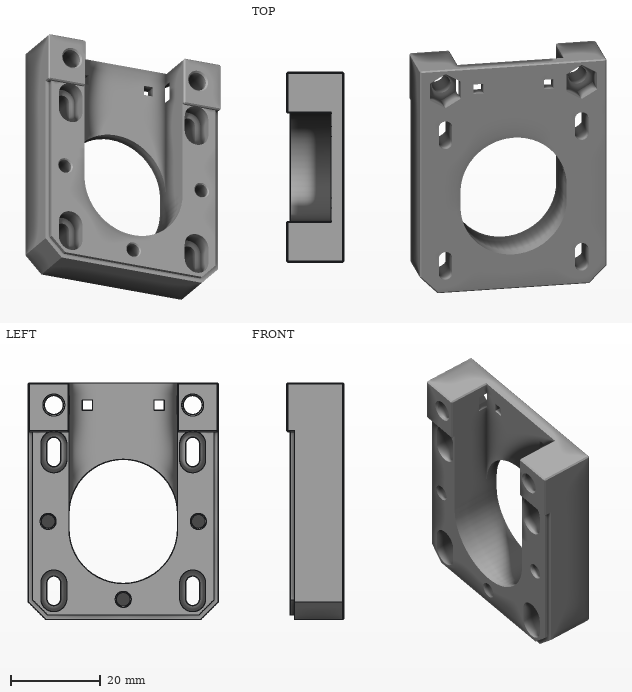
import cadquery as cq
import math

DEPTH = 12.8
WIDTH = 42.5
HEIGHT = 53.0
CORNER_CUT = 4.0
EDGE_CHAMFER = 0.29

PLATE_X = 0.8
RIM_X = 1.75
PLATE_INSET = 1.0
PAD_HEIGHT = 10.95

MOTOR_CENTER_Z = 22.0
SLOT_TRAVEL = 3.5
OPENING_DIAMETER = 24.2
BACK_WALL = 2.85
CHANNEL_DEPTH = DEPTH - BACK_WALL

BOLT_SPACING = 31.05
BOLT_SLOT_WIDTH = 3.1
HEAD_SLOT_WIDTH = 5.85
HEAD_SLOT_DEPTH = 4.2

BLIND_DIAMETER = 3.1
BLIND_DEPTH = 5.85
BLIND_SIDE_Y = 16.8
BLIND_BOTTOM_Z = 4.55
HOLE_CHAMFER = 0.25

MOUNT_DIAMETER = 4.2
MOUNT_Y = BOLT_SPACING / 2
MOUNT_Z = 48.0
MOUNT_CHAMFER = 0.35
NUT_ACROSS_FLATS = 7.0
NUT_ACROSS_CORNERS = NUT_ACROSS_FLATS / math.cos(math.pi / 6)
NUT_DEPTH = 5.0

WINDOW_SIDE = 2.2
WINDOW_Y = 8.0
WINDOW_Z = MOUNT_Z


def at_depth(x):
    """Workplane facing +X at depth x; its local axes are Y and Z."""
    return cq.Workplane("YZ", origin=(x, 0, 0))


def plate_outline(plane, inset):
    """Block outline with cut bottom corners, moved inward by inset at its sides and bottom."""
    half = WIDTH / 2 - inset
    cut = CORNER_CUT - inset * (2 - math.sqrt(2))
    return plane.polyline([
        (-half, HEIGHT),
        (-half, inset + cut),
        (-half + cut, inset),
        (half - cut, inset),
        (half, inset + cut),
        (half, HEIGHT),
    ]).close()


def channel(start_x):
    """Channel from start_x to the back wall, open at the top of the block."""
    return at_depth(start_x).center(0, (MOTOR_CENTER_Z + HEIGHT) / 2).rect(
        OPENING_DIAMETER, HEIGHT - MOTOR_CENTER_Z
    ).extrude(CHANNEL_DEPTH - start_x)


def vertical_slot(start_x, depth, y, z, width):
    """Slot cutter along Z whose end arcs are SLOT_TRAVEL apart."""
    return at_depth(start_x).center(y, z).slot2D(width + SLOT_TRAVEL, width, 90).extrude(depth)


def chamfered_hole(start_x, depth, y, z, diameter, chamfer):
    """Round hole cutter going in +X, with a countersunk mouth at start_x."""
    hole = at_depth(start_x).center(y, z).circle(diameter / 2).extrude(depth)
    mouth = at_depth(start_x).center(y, z).circle(diameter / 2 + chamfer).extrude(chamfer, taper=45)
    return hole.union(mouth)


def main_block():
    """Block behind the rim, with the channel cut and its back and top edges chamfered."""
    block = plate_outline(at_depth(RIM_X), 0).extrude(DEPTH - RIM_X)
    block = block.faces(">X").edges().chamfer(EDGE_CHAMFER)
    block = block.cut(channel(RIM_X))
    return block.faces(">Z").edges("|X").chamfer(EDGE_CHAMFER)


def raised_plate():
    """Raised front plate, running up behind the lower half of the pads."""
    plate = plate_outline(at_depth(PLATE_X), PLATE_INSET).extrude(RIM_X - PLATE_X)
    upper_part = at_depth(PLATE_X).center(0, HEIGHT - PAD_HEIGHT / 4).rect(WIDTH, PAD_HEIGHT / 2)
    plate = plate.cut(upper_part.extrude(RIM_X - PLATE_X))
    return plate.cut(channel(PLATE_X))


def pad(side):
    """Chamfered pad at the top of one leg; side is -1 or 1."""
    pad_width = (WIDTH - OPENING_DIAMETER) / 2
    center_y = side * (WIDTH - pad_width) / 2
    block = at_depth(0).center(center_y, HEIGHT - PAD_HEIGHT / 2).rect(pad_width, PAD_HEIGHT).extrude(RIM_X)
    return block.edges("|X or <X").chamfer(EDGE_CHAMFER)


result = main_block().union(raised_plate())
for side in (-1, 1):
    result = result.union(pad(side))

result = result.cut(vertical_slot(0, DEPTH, 0, MOTOR_CENTER_Z, OPENING_DIAMETER))

for side in (-1, 1):
    for level in (-1, 1):
        bolt_y = side * BOLT_SPACING / 2
        bolt_z = MOTOR_CENTER_Z + level * BOLT_SPACING / 2
        result = result.cut(vertical_slot(PLATE_X, DEPTH, bolt_y, bolt_z, BOLT_SLOT_WIDTH))
        result = result.cut(vertical_slot(PLATE_X, HEAD_SLOT_DEPTH, bolt_y, bolt_z, HEAD_SLOT_WIDTH))

for y, z in [(-BLIND_SIDE_Y, MOTOR_CENTER_Z), (BLIND_SIDE_Y, MOTOR_CENTER_Z), (0, BLIND_BOTTOM_Z)]:
    result = result.cut(chamfered_hole(PLATE_X, BLIND_DEPTH, y, z, BLIND_DIAMETER, HOLE_CHAMFER))

for side in (-1, 1):
    mount_y = side * MOUNT_Y
    result = result.cut(chamfered_hole(0, DEPTH, mount_y, MOUNT_Z, MOUNT_DIAMETER, MOUNT_CHAMFER))
    nut = at_depth(DEPTH - NUT_DEPTH).polygon(6, NUT_ACROSS_CORNERS).extrude(NUT_DEPTH)
    nut = nut.rotate((0, 0, 0), (1, 0, 0), 30).translate((0, mount_y, MOUNT_Z))
    result = result.cut(nut)
    window_plane = at_depth(CHANNEL_DEPTH).center(side * WINDOW_Y, WINDOW_Z)
    result = result.cut(window_plane.rect(WINDOW_SIDE, WINDOW_SIDE).extrude(BACK_WALL))